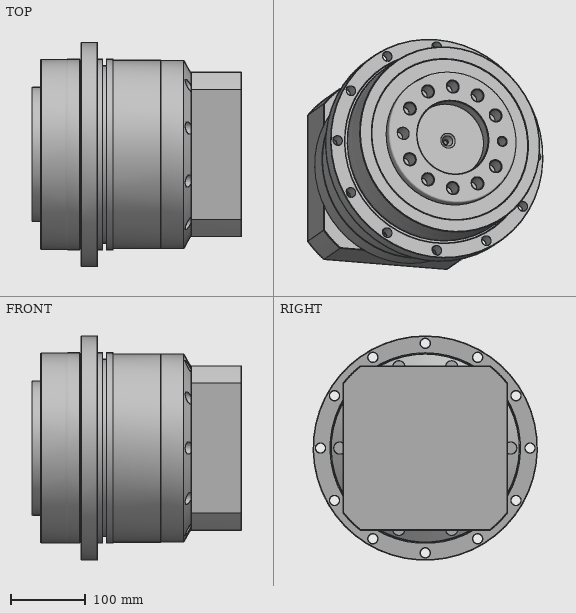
import cadquery as cq
import math


HOUSING_FRONT = 12.0
PILOT_START = 45.5
PILOT_FULL = 48.5
RELIEF_START = 63.5
FLANGE_FRONT = 66.0
FLANGE_BACK = 88.0
RING_GROOVE_START = 94.8
RING_GROOVE_END = 100.0
HOUSING_BACK = 108.5
CASING_BACK = 172.5
CONE_START = 203.0
COVER_BACK = 213.0
ADAPTER_BACK = 280.8

EDGE = 1.0
FLANGE_EDGE = 0.5
JOINT_EDGE = 0.5

OUTPUT_RADIUS = 90.0
OUTPUT_BACK = 48.0
OUTPUT_FILLET = 2.0
BORE_RADIUS = 50.0
BORE_DEPTH = 19.8
OUTPUT_HOLE_CIRCLE = 70.0
OUTPUT_HOLE_COUNT = 12
OUTPUT_HOLE_DEPTH = 27.0
THREAD_RADIUS = 8.0
DOWEL_RADIUS = 8.5
LOCATING_RADIUS = 6.0

CENTRE_RIM_RADIUS = 10.2
CENTRE_CONE_RADIUS = 7.2
CENTRE_PILOT_RADIUS = 3.3
CENTRE_RIM_DEPTH = 1.8
CENTRE_CONE_ANGLE = 60.0
CENTRE_PILOT_LENGTH = 4.5
DRILL_TIP_ANGLE = 120.0

SEAL_RADIUS = 110.0
SEAL_DEPTH = 12.0

PILOT_RADIUS = 127.5
FRONT_RADIUS = 127.2
FLANGE_RADIUS = 150.0
RING_GROOVE_RADIUS = 118.8
RELIEF_DEPTH = 1.2
FACE_RELIEF_RADIUS = 129.5
FLANGE_HOLE_COUNT = 12
FLANGE_HOLE_CIRCLE = 140.0
FLANGE_HOLE_RADIUS = 6.5

CASING_RADIUS = 126.0
CONE_SLOPE = 60.0
COVER_HOLE_COUNT = 10
COVER_HOLE_CIRCLE = 114.3
COVER_HOLE_RADIUS = 8.0

ADAPTER_WIDTH = 220.0
ADAPTER_CORNER_RADIUS = 140.0


def turned(profile):
    """Solid of revolution about X from (x, radius) points that start and end on the axis."""
    return cq.Workplane("XZ").polyline(profile).close().revolve(360, (0, 0, 0), (1, 0, 0))


def cylinder(x_start, x_end, radius, y=0.0, z=0.0):
    """Cylinder parallel to X."""
    return cq.Workplane("YZ", origin=(x_start, y, z)).circle(radius).extrude(x_end - x_start)


def chamfered_hole(x_face, depth, radius, y=0.0, z=0.0):
    """Cutter for a blind hole into a face towards +X, with a 45 degree chamfer at its mouth."""
    countersink = (
        cq.Workplane("YZ", origin=(x_face, y, z))
        .circle(radius + EDGE)
        .extrude(EDGE, taper=45)
    )
    return cylinder(x_face, x_face + depth, radius, y, z).union(countersink)


def on_circle(radius, index, count):
    """(y, z) of an evenly spaced place on a bolt circle, counted from +Y."""
    angle = 2 * math.pi * index / count
    return radius * math.cos(angle), radius * math.sin(angle)


def make_centre_hole():
    """Cutter for the centre hole: a wide rim cone, a steeper cone and a pointed pilot drilling."""
    rim_end = BORE_DEPTH + CENTRE_RIM_DEPTH
    cone_drop = CENTRE_CONE_RADIUS - CENTRE_PILOT_RADIUS
    cone_length = cone_drop / math.tan(math.radians(CENTRE_CONE_ANGLE / 2))
    cone_end = rim_end + cone_length
    pilot_end = cone_end + CENTRE_PILOT_LENGTH
    tip_end = pilot_end + CENTRE_PILOT_RADIUS / math.tan(math.radians(DRILL_TIP_ANGLE / 2))
    return turned([
        (BORE_DEPTH, 0),
        (BORE_DEPTH, CENTRE_RIM_RADIUS),
        (rim_end, CENTRE_CONE_RADIUS),
        (cone_end, CENTRE_PILOT_RADIUS),
        (pilot_end, CENTRE_PILOT_RADIUS),
        (tip_end, 0),
    ])


def make_output_flange():
    """Rotating output disc with its central bore and circle of holes."""
    body = cylinder(0, OUTPUT_BACK, OUTPUT_RADIUS).faces("<X").edges().fillet(OUTPUT_FILLET)
    body = body.cut(chamfered_hole(0, BORE_DEPTH, BORE_RADIUS))
    body = body.cut(make_centre_hole())
    for index in range(OUTPUT_HOLE_COUNT):
        y, z = on_circle(OUTPUT_HOLE_CIRCLE, index, OUTPUT_HOLE_COUNT)
        if index == 0:
            hole = cylinder(0, OUTPUT_HOLE_DEPTH, DOWEL_RADIUS, y, z)
        elif index == OUTPUT_HOLE_COUNT // 2:
            hole = chamfered_hole(0, OUTPUT_HOLE_DEPTH, LOCATING_RADIUS, y, z)
        else:
            hole = chamfered_hole(0, OUTPUT_HOLE_DEPTH, THREAD_RADIUS, y, z)
        body = body.cut(hole)
    return body


def make_seal_ring():
    """Ring that fills the gap between the output flange and the front housing."""
    seal_back = HOUSING_FRONT + SEAL_DEPTH
    ring = cylinder(HOUSING_FRONT, seal_back, SEAL_RADIUS)
    return ring.cut(cylinder(HOUSING_FRONT, seal_back, OUTPUT_RADIUS))


def make_housing():
    """Front housing with its bolting flange, corner relief and ring groove."""
    relief_radius = PILOT_RADIUS - RELIEF_DEPTH
    body = turned([
        (HOUSING_FRONT, 0),
        (HOUSING_FRONT, FRONT_RADIUS - EDGE),
        (HOUSING_FRONT + EDGE, FRONT_RADIUS),
        (PILOT_START, FRONT_RADIUS),
        (PILOT_FULL, PILOT_RADIUS),
        (RELIEF_START, PILOT_RADIUS),
        (RELIEF_START + EDGE, relief_radius),
        (FLANGE_FRONT + EDGE, relief_radius),
        (FLANGE_FRONT + EDGE, FACE_RELIEF_RADIUS),
        (FLANGE_FRONT, FACE_RELIEF_RADIUS + EDGE),
        (FLANGE_FRONT, FLANGE_RADIUS - FLANGE_EDGE),
        (FLANGE_FRONT + FLANGE_EDGE, FLANGE_RADIUS),
        (FLANGE_BACK - FLANGE_EDGE, FLANGE_RADIUS),
        (FLANGE_BACK, FLANGE_RADIUS - FLANGE_EDGE),
        (FLANGE_BACK, PILOT_RADIUS),
        (RING_GROOVE_START, PILOT_RADIUS),
        (RING_GROOVE_START, RING_GROOVE_RADIUS),
        (RING_GROOVE_END, RING_GROOVE_RADIUS),
        (RING_GROOVE_END, PILOT_RADIUS),
        (HOUSING_BACK, PILOT_RADIUS),
        (HOUSING_BACK, 0),
    ])
    body = body.cut(chamfered_hole(HOUSING_FRONT, SEAL_DEPTH, SEAL_RADIUS))
    body = body.cut(cylinder(HOUSING_FRONT, OUTPUT_BACK, OUTPUT_RADIUS))
    for index in range(FLANGE_HOLE_COUNT):
        y, z = on_circle(FLANGE_HOLE_CIRCLE, index, FLANGE_HOLE_COUNT)
        body = body.cut(cylinder(FLANGE_FRONT, FLANGE_BACK, FLANGE_HOLE_RADIUS, y, z))
    return body


def make_casing():
    """Plain cylindrical casing with its rear edge broken at the cover joint."""
    body = cylinder(HOUSING_BACK, CASING_BACK, CASING_RADIUS)
    return body.faces(">X").edges().chamfer(JOINT_EDGE)


def make_cover():
    """Rear cover: a short cylinder and a cone that screw holes break into."""
    cone_drop = (COVER_BACK - CONE_START) * math.tan(math.radians(CONE_SLOPE))
    body = turned([
        (CASING_BACK, 0),
        (CASING_BACK, CASING_RADIUS - JOINT_EDGE),
        (CASING_BACK + JOINT_EDGE, CASING_RADIUS),
        (CONE_START, CASING_RADIUS),
        (COVER_BACK, CASING_RADIUS - cone_drop),
        (COVER_BACK, 0),
    ])
    for index in range(COVER_HOLE_COUNT):
        y, z = on_circle(COVER_HOLE_CIRCLE, index, COVER_HOLE_COUNT)
        body = body.cut(cylinder(CASING_BACK, COVER_BACK, COVER_HOLE_RADIUS, y, z))
    return body


def make_adapter():
    """Square motor adapter whose corners are rounded about the axis."""
    length = ADAPTER_BACK - COVER_BACK
    block = (
        cq.Workplane("YZ", origin=(COVER_BACK, 0, 0))
        .rect(ADAPTER_WIDTH, ADAPTER_WIDTH)
        .extrude(length)
    )
    block = block.intersect(cylinder(COVER_BACK, ADAPTER_BACK, ADAPTER_CORNER_RADIUS))
    return block.faces("<X or >X").edges().chamfer(EDGE)


output_flange = make_output_flange()
seal_ring = make_seal_ring()
housing = make_housing()
casing = make_casing()
cover = make_cover()
adapter = make_adapter()

result = cq.Compound.makeCompound([
    output_flange.val(),
    seal_ring.val(),
    housing.val(),
    casing.val(),
    cover.val(),
    adapter.val(),
])